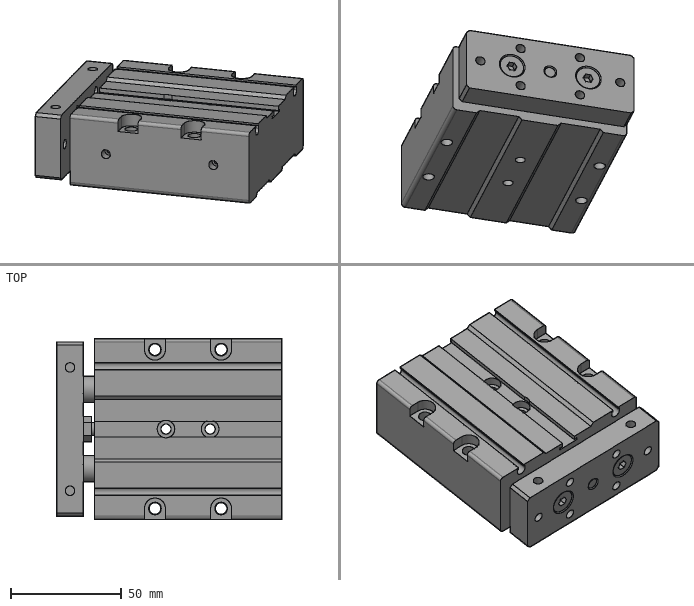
import cadquery as cq
import math

overall_length = 102.0
plate_thickness = 12.0
housing_length = 85.0
housing_width = 82.0
housing_height = 34.0
housing_front = overall_length - housing_length
housing_middle = housing_front + housing_length / 2
half_width = housing_width / 2
half_height = housing_height / 2

top_fillet = 1.5
bottom_fillet = 1.8
recess_depth = 1.5
top_recess_half_width = 15.0
bottom_land_half_width = 8.5
side_land_inner_edge = 29.9

tslot_mouth = 7.0
tslot_width = 10.4
tslot_lip = 2.0
tslot_depth = 3.0

sensor_slot_offset = 28.5
sensor_slot_mouth = 3.1
sensor_slot_width = 4.5
sensor_slot_lip = 1.0
sensor_slot_round_depth = 2.4

mount_pitch_x = 30.0
mount_offset_y = 36.0
mount_pocket_width = 9.5
mount_pocket_depth = 5.5
mount_clearance_diameter = 5.7
mount_thread_diameter = 5.2
mount_thread_depth = 12.0

slot_hole_pitch = 20.0
slot_hole_diameter = 4.5
slot_counterbore_diameter = 8.0
slot_counterbore_depth = 4.1

port_pitch = 51.0
port_diameter = 4.2
port_depth = 5.1
port_passage_diameter = 2.0
port_passage_depth = 10.2

plate_width = 79.0
plate_height = 31.0
plate_chamfer = 1.4
plate_hole_diameter = 4.3
inner_hole_y = 14.0
inner_hole_z = 10.0
outer_hole_y = 32.9
top_hole_y = 27.9
top_hole_depth = 10.0

guide_rod_diameter = 12.0
guide_rod_offset = 18.0
piston_rod_diameter = 6.0
rod_end_recess = 0.5
hex_socket_flats = 4.0
hex_socket_depth = 3.1
nut_flats = 10.0
nut_thickness = 3.8


def housing_prism(points):
    """Extrude a Y-Z outline over the full housing length."""
    outline = cq.Workplane("YZ", origin=(housing_front, 0, 0)).polyline(points).close()
    return outline.extrude(housing_length)


def housing_box(y_center, width, z_top, depth):
    """Full-length bar with its top at z_top."""
    bar = cq.Workplane("XY", origin=(housing_middle, y_center, z_top))
    return bar.rect(housing_length, width).extrude(-depth)


def vertical_cylinder(x, y, z_top, diameter, depth):
    return cq.Workplane("XY", origin=(x, y, z_top)).circle(diameter / 2).extrude(-depth)


def x_cylinder(x_start, y, z, diameter, length):
    return cq.Workplane("YZ", origin=(x_start, y, z)).circle(diameter / 2).extrude(length)


def x_hexagon(x_start, y, flats, length):
    """Hexagonal prism along X with flats facing +Z and -Z."""
    across_corners = flats / math.cos(math.pi / 6)
    return cq.Workplane("YZ", origin=(x_start, y, 0)).polygon(6, across_corners).extrude(length)


def housing_blank():
    block = housing_box(0, housing_width, half_height, housing_height)
    block = block.edges("|X and >Z").fillet(top_fillet)
    return block.edges("|X and <Z").fillet(bottom_fillet)


def top_recess():
    floor_half_width = top_recess_half_width - recess_depth
    floor_z = half_height - recess_depth
    return housing_prism([
        (-top_recess_half_width, half_height),
        (top_recess_half_width, half_height),
        (floor_half_width, floor_z),
        (-floor_half_width, floor_z),
    ])


def bottom_recess(side):
    floor_z = recess_depth - half_height
    return housing_prism([
        (side * bottom_land_half_width, -half_height),
        (side * side_land_inner_edge, -half_height),
        (side * (side_land_inner_edge - recess_depth), floor_z),
        (side * (bottom_land_half_width + recess_depth), floor_z),
    ])


def t_slot():
    recess_floor = half_height - recess_depth
    mouth = housing_box(0, tslot_mouth, recess_floor, tslot_depth)
    undercut = housing_box(0, tslot_width, recess_floor - tslot_lip, tslot_depth - tslot_lip)
    return mouth.union(undercut)


def sensor_slot(side):
    y = side * sensor_slot_offset
    round_center_z = half_height - sensor_slot_round_depth
    straight_depth = sensor_slot_round_depth - sensor_slot_lip
    mouth = housing_box(y, sensor_slot_mouth, half_height, sensor_slot_round_depth)
    straight = housing_box(y, sensor_slot_width, half_height - sensor_slot_lip, straight_depth)
    round_bottom = x_cylinder(housing_front, y, round_center_z, sensor_slot_width, housing_length)
    return mouth.union(straight).union(round_bottom)


def mounting_hole(x, side):
    """Side-open pocket, clearance hole below it and a thread hole from the underside."""
    y = side * mount_offset_y
    pocket_round = vertical_cylinder(x, y, half_height, mount_pocket_width, mount_pocket_depth)
    pocket_reach = half_width - mount_offset_y
    pocket_open = (
        cq.Workplane("XY", origin=(x, side * (mount_offset_y + pocket_reach / 2), half_height))
        .rect(mount_pocket_width, pocket_reach)
        .extrude(-mount_pocket_depth)
    )
    clearance_depth = housing_height - mount_thread_depth
    clearance = vertical_cylinder(x, y, half_height, mount_clearance_diameter, clearance_depth)
    thread = vertical_cylinder(x, y, half_height, mount_thread_diameter, housing_height)
    return pocket_round.union(pocket_open).union(clearance).union(thread)


def slot_hole(x, counterbore_top):
    """Through hole counterbored from the given height."""
    slot_floor = half_height - recess_depth - tslot_depth
    counterbore_length = counterbore_top - slot_floor + slot_counterbore_depth
    counterbore = vertical_cylinder(x, 0, counterbore_top, slot_counterbore_diameter, counterbore_length)
    hole = vertical_cylinder(x, 0, half_height, slot_hole_diameter, housing_height)
    return counterbore.union(hole)


def port(x):
    face = cq.Workplane("XZ", origin=(x, -half_width, 0))
    mouth = face.circle(port_diameter / 2).extrude(-port_depth)
    passage = face.circle(port_passage_diameter / 2).extrude(-port_passage_depth)
    return mouth.union(passage)


def make_housing():
    body = housing_blank().cut(top_recess()).cut(t_slot())
    for side in (-1, 1):
        body = body.cut(bottom_recess(side)).cut(sensor_slot(side))
        for end in (-1, 1):
            body = body.cut(mounting_hole(housing_middle + end * mount_pitch_x / 2, side))
    recess_floor = half_height - recess_depth
    body = body.cut(slot_hole(housing_middle - slot_hole_pitch / 2, recess_floor))
    body = body.cut(slot_hole(housing_middle + slot_hole_pitch / 2, recess_floor - tslot_lip))
    for end in (-1, 1):
        body = body.cut(port(housing_middle + end * port_pitch / 2))
    return body


def plate_blank():
    block = cq.Workplane("YZ").rect(plate_width, plate_height).extrude(plate_thickness)
    return block.edges("|X").chamfer(plate_chamfer)


def rod_end_countersink(y, diameter):
    """Shallow conical recess marking a rod end in the plate face."""
    rim = cq.Workplane("YZ", origin=(0, y, 0)).circle(diameter / 2)
    return rim.workplane(offset=rod_end_recess).circle(diameter / 2 - rod_end_recess).loft()


def make_slide():
    """End plate with its guide rods, piston rod and lock nut, ending at the housing face."""
    body = plate_blank()
    rod_length = housing_front - plate_thickness
    for side in (-1, 1):
        rod_y = side * guide_rod_offset
        body = body.union(x_cylinder(plate_thickness, rod_y, 0, guide_rod_diameter, rod_length))
        body = body.cut(rod_end_countersink(rod_y, guide_rod_diameter))
        body = body.cut(x_hexagon(0, rod_y, hex_socket_flats, rod_end_recess + hex_socket_depth))
        hole_places = [
            (side * inner_hole_y, inner_hole_z),
            (side * inner_hole_y, -inner_hole_z),
            (side * outer_hole_y, 0),
        ]
        for y, z in hole_places:
            body = body.cut(x_cylinder(0, y, z, plate_hole_diameter, plate_thickness))
        top_hole = vertical_cylinder(
            plate_thickness / 2, side * top_hole_y, plate_height / 2, plate_hole_diameter, top_hole_depth
        )
        body = body.cut(top_hole)
    body = body.union(x_cylinder(plate_thickness, 0, 0, piston_rod_diameter, rod_length))
    body = body.union(x_hexagon(plate_thickness, 0, nut_flats, nut_thickness))
    return body.cut(rod_end_countersink(0, piston_rod_diameter))


housing = make_housing()
slide = make_slide()

result = cq.Compound.makeCompound([housing.val(), slide.val()])